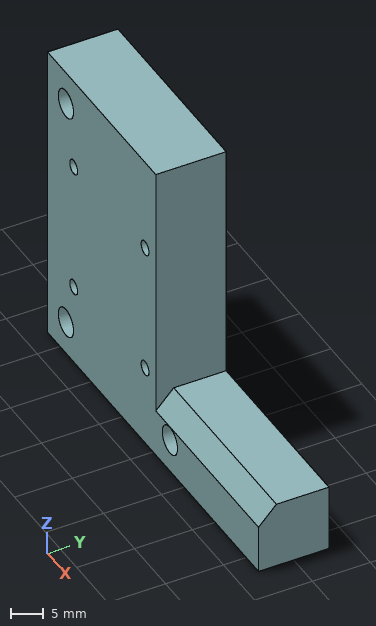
import cadquery as cq

LENGTH = 68.0
THICKNESS = 12.19
HEIGHT = 53.8

PLATE_WIDTH = 34.9
FOOT_HEIGHT = 11.8

BEVEL_DEPTH = 3.1
BEVEL_DROP = 3.3

MOUNT_DIAMETER = 4.9
MOUNT_X = 5.95
MOUNT_Z = 5.95
MOUNT_SPACING_X = 33.5
MOUNT_SPACING_Z = HEIGHT - 2 * MOUNT_Z

SMALL_DIAMETER = 2.5
SMALL_SPACING = 23.0
SMALL_X = 8.45
SMALL_Z = 14.4


def make_body():
    """L-shaped profile in XZ, extruded from the front face (Y = 0) to the back."""
    outline = [
        (0, 0),
        (LENGTH, 0),
        (LENGTH, FOOT_HEIGHT),
        (PLATE_WIDTH, FOOT_HEIGHT),
        (PLATE_WIDTH, HEIGHT),
        (0, HEIGHT),
    ]
    return cq.Workplane("XZ").polyline(outline).close().extrude(-THICKNESS)


def make_bevel_cutter():
    """Triangular prism that bevels the foot from the plate to its free end."""
    triangle = [
        (0, FOOT_HEIGHT),
        (BEVEL_DEPTH, FOOT_HEIGHT),
        (0, FOOT_HEIGHT - BEVEL_DROP),
    ]
    return (
        cq.Workplane("YZ", origin=(PLATE_WIDTH, 0, 0))
        .polyline(triangle)
        .close()
        .extrude(LENGTH - PLATE_WIDTH)
    )


def make_hole_cutters(centers, diameter):
    """Cylinders along Y through the full thickness at the given (X, Z) centers."""
    return cq.Workplane("XZ").pushPoints(centers).circle(diameter / 2).extrude(-THICKNESS)


mount_centers = [
    (MOUNT_X, MOUNT_Z),
    (MOUNT_X, MOUNT_Z + MOUNT_SPACING_Z),
    (MOUNT_X + MOUNT_SPACING_X, MOUNT_Z),
]
small_centers = [
    (SMALL_X + column * SMALL_SPACING, SMALL_Z + row * SMALL_SPACING)
    for column in range(2)
    for row in range(2)
]

result = (
    make_body()
    .cut(make_bevel_cutter())
    .cut(make_hole_cutters(mount_centers, MOUNT_DIAMETER))
    .cut(make_hole_cutters(small_centers, SMALL_DIAMETER))
)